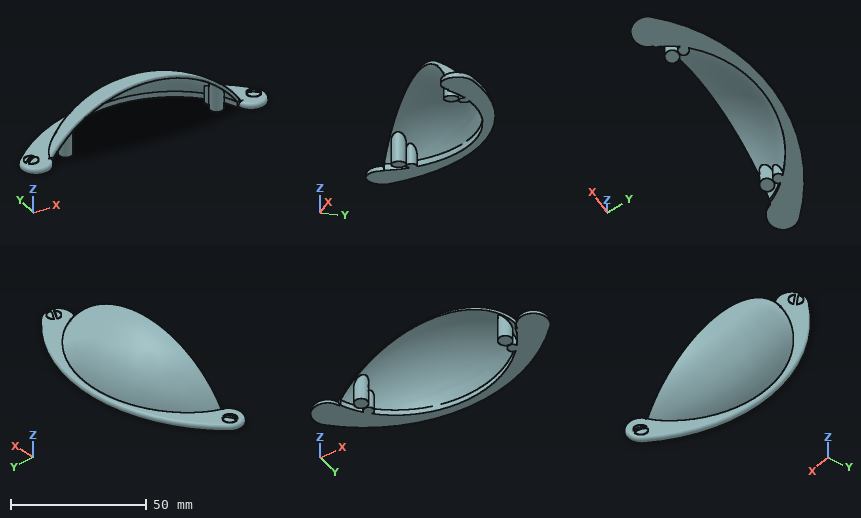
import cadquery as cq
import math

flange_height = 2.5
flange_fillet = 1.5
overall_length = 103.96
lobe_radius = 6.35
lobe_x = overall_length / 2 - lobe_radius
lobe_y = 1.66
back_arc_radius = 69.95

cup_axis_y = -4.7
cup_axis_z = -6.4
cup_mid_radius = 31.12
cup_profile_radius = 49.8
wall = 1.5
rim_fillet = 0.7

pillar_spacing = 64.0
front_pillar_radius = 2.8
front_pillar_y = 3.5
rear_pillar_radius = 2.1
rear_pillar_y = 8.5

screw_x = 47.2
screw_y = 2.45
screw_radius = 2.8
screw_height = 1.0
screw_edge_height = 0.25
slot_width = 1.2
slot_angle = 30.0

block_size = 2 * overall_length


def turned_body(offset):
    """Lemon-shaped solid whose surface lies `offset` inside the outer cup surface."""
    profile_radius = cup_profile_radius - offset
    mid_radius = cup_mid_radius - offset
    profile_centre = mid_radius - profile_radius
    half_length = math.sqrt(profile_radius**2 - profile_centre**2)
    return (
        cq.Workplane("XY", origin=(0, cup_axis_y, cup_axis_z))
        .moveTo(-half_length, 0)
        .threePointArc((0, mid_radius), (half_length, 0))
        .close()
        .revolve(360, (0, 0), (1, 0))
    )


def space_behind_front(bottom_z):
    """Large block covering Y > 0 and Z > bottom_z."""
    return cq.Workplane("XY", origin=(0, 0, bottom_z)).box(
        block_size, block_size, block_size, centered=(True, False, False)
    )


def make_flange():
    back_centre_y = lobe_y - math.sqrt((back_arc_radius - lobe_radius) ** 2 - lobe_x**2)
    reach = back_arc_radius / (back_arc_radius - lobe_radius)
    tangent_x = lobe_x * reach
    tangent_y = back_centre_y + (lobe_y - back_centre_y) * reach
    lobe_end_x = lobe_x - math.sqrt(lobe_radius**2 - lobe_y**2)
    lobe_bottom = lobe_y - lobe_radius
    plate = (
        cq.Workplane("XY")
        .moveTo(-tangent_x, tangent_y)
        .threePointArc((0, back_centre_y + back_arc_radius), (tangent_x, tangent_y))
        .threePointArc((lobe_x, lobe_bottom), (lobe_end_x, 0))
        .lineTo(-lobe_end_x, 0)
        .threePointArc((-lobe_x, lobe_bottom), (-tangent_x, tangent_y))
        .close()
        .extrude(flange_height)
    )
    return plate.faces(">Z").edges("%CIRCLE").fillet(flange_fillet)


def make_cup():
    cup = turned_body(0).intersect(space_behind_front(-block_size / 2))
    return cup.faces("<Y").edges().fillet(rim_fillet).intersect(space_behind_front(0))


def make_cavity():
    """Hollow of the cup; below the flange top its wall drops straight down."""
    upper = turned_body(wall).intersect(space_behind_front(flange_height))
    lower = upper.faces("<Z").wires().toPending().workplane().extrude(flange_height)
    return upper.union(lower)


def make_pillar_pair(y, radius):
    pillars = (
        cq.Workplane("XY")
        .pushPoints([(-pillar_spacing / 2, y), (pillar_spacing / 2, y)])
        .circle(radius)
        .extrude(cup_mid_radius)
    )
    return pillars.intersect(turned_body(wall / 2))


def make_screw_head(side):
    dome_height = screw_height - screw_edge_height
    dome_radius = (screw_radius**2 + dome_height**2) / (2 * dome_height)
    ball = cq.Workplane("XY").sphere(dome_radius).translate((0, 0, screw_height - dome_radius))
    head = cq.Workplane("XY").circle(screw_radius).extrude(screw_height).intersect(ball)
    slot = cq.Workplane("XY").box(3 * screw_radius, slot_width, 3 * screw_height)
    slot = slot.rotate((0, 0, 0), (0, 0, 1), -side * slot_angle)
    return head.cut(slot).translate((side * screw_x, screw_y, flange_height))


result = make_flange().union(make_cup()).cut(make_cavity())
result = result.union(make_pillar_pair(front_pillar_y, front_pillar_radius))
result = result.union(make_pillar_pair(rear_pillar_y, rear_pillar_radius))
for side in (-1, 1):
    result = result.union(make_screw_head(side))